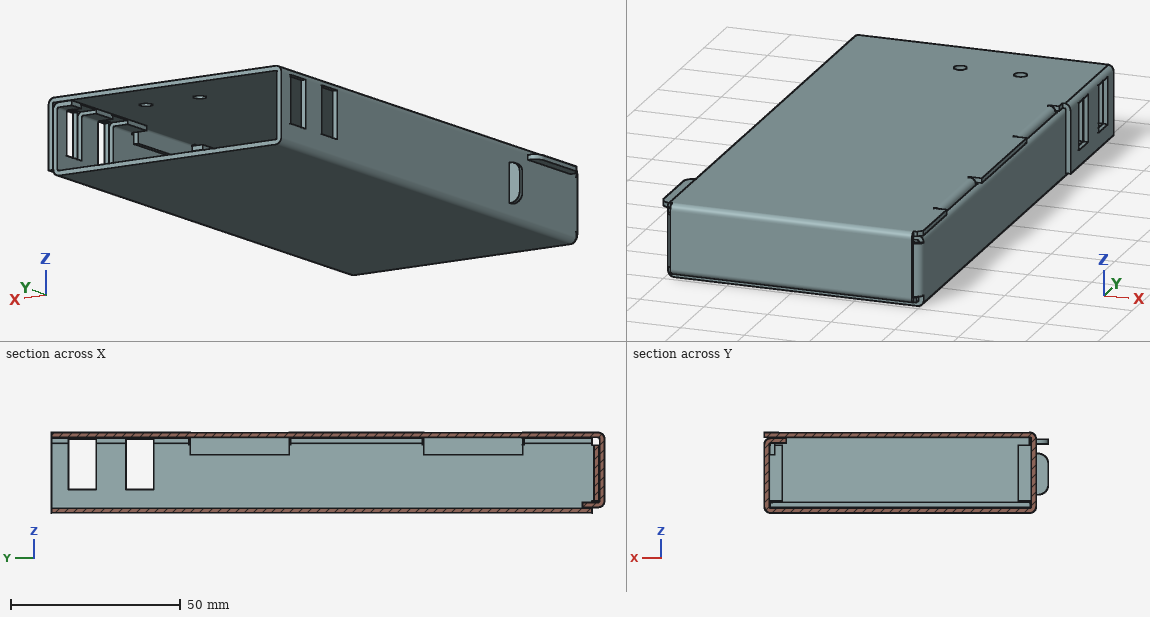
import cadquery as cq
import math


SHEET = 1.5
INNER_BEND = 0.5
OUTER_BEND = SHEET + INNER_BEND
CLEARANCE = 0.2

LENGTH = 163.3
HEIGHT = 23.8
OVERALL_WIDTH = 85.5
TAB_REACH = 3.6
REAR_FLANGE_X = OVERALL_WIDTH - TAB_REACH
WIDTH = REAR_FLANGE_X - SHEET - CLEARANCE
SIDE_FRONT = SHEET + CLEARANCE + OUTER_BEND

INWARD_FLANGE = 6.5
RETURN_REACH = 3.3
RETURN_BOTTOM = 3.6
RETURN_TOP = HEIGHT - 3.8

FRONT_RIGHT_GAP = 2.5
CORNER_CUT = 1.5

REAR_FLANGE_START = 125.9
REAR_RELIEF_WIDTH = 3.1
REAR_RELIEF_DEPTH = 0.8

HOOK_LENGTH = 30.2
HOOK_STARTS = (23.7, 92.6)
HOOK_X = WIDTH - SHEET - CLEARANCE
HOOK_BEND_X = HOOK_X - OUTER_BEND
HOOK_DROP = 6.5
HOOK_CLEARANCE = 0.3
RELIEF_SLIT = 0.5

WINDOW_LENGTH = 8.2
WINDOW_STARTS = (133.1, 150.0)
WINDOW_BOTTOM = 7.0
WINDOW_TOP = HEIGHT - OUTER_BEND

HOLE_DIAMETER = 4.0
HOLE_XS = (40.2, 59.1)
HOLE_Y = 145.7

TAB_RADIUS = 3.1
UPRIGHT_TAB_Y = 38.4
UPRIGHT_TAB_BOTTOM = 5.4
UPRIGHT_TAB_LENGTH = 12.2
FLAT_TAB_START = 6.9
FLAT_TAB_LENGTH = 23.0
FLAT_TAB_TOP = HEIGHT - OUTER_BEND


def block(x_range, y_range, z_range):
    """Axis-aligned block filling the three ranges."""
    start, end = zip(x_range, y_range, z_range)
    size = [high - low for low, high in zip(start, end)]
    return cq.Workplane("XY").box(*size, centered=False).translate(start)


def bent_sheet(plane, corner, ends, start, stop):
    """Right-angle bend of the sheet, its section in the plane and extruded from start to stop.

    The outer faces meet at the corner. One leg runs to ends[0] along the first axis of the
    plane, the other to ends[1] along its second axis.
    """
    u, v = corner
    u_end, v_end = ends
    u_way = math.copysign(1, u_end - u)
    v_way = math.copysign(1, v_end - v)
    u_bend = u + u_way * OUTER_BEND
    v_bend = v + v_way * OUTER_BEND
    u_inner = u + u_way * SHEET
    v_inner = v + v_way * SHEET

    def arc_middle(radius):
        offset = radius / math.sqrt(2)
        return u_bend - u_way * offset, v_bend - v_way * offset

    normal = -1 if plane == "XZ" else 1
    return (
        cq.Workplane(plane)
        .workplane(offset=normal * start)
        .moveTo(u_end, v)
        .lineTo(u_bend, v)
        .threePointArc(arc_middle(OUTER_BEND), (u, v_bend))
        .lineTo(u, v_end)
        .lineTo(u_inner, v_end)
        .lineTo(u_inner, v_bend)
        .threePointArc(arc_middle(INNER_BEND), (u_bend, v_inner))
        .lineTo(u_end, v_inner)
        .close()
        .extrude(normal * (stop - start))
    )


def sleeve():
    """Top plate, left wall, bottom and right wall, the last turned in under the top plate."""
    bends = (
        ((0, HEIGHT), (WIDTH, HEIGHT / 2)),
        ((0, 0), (WIDTH / 2, HEIGHT / 2)),
        ((WIDTH, 0), (WIDTH / 2, HEIGHT / 2)),
        ((WIDTH, HEIGHT - SHEET - CLEARANCE), (WIDTH - INWARD_FLANGE, HEIGHT / 2)),
    )
    body = cq.Workplane("XY")
    for corner, ends in bends:
        body = body.add(bent_sheet("XZ", corner, ends, SIDE_FRONT, LENGTH))
    return body.combine()


def front_wall():
    """Front wall bent down from the top plate and turned in over the bottom."""
    flange_bottom = SHEET + CLEARANCE
    right = WIDTH - FRONT_RIGHT_GAP
    upper = bent_sheet("YZ", (0, HEIGHT), (SIDE_FRONT, HEIGHT / 2), OUTER_BEND, right)
    lower = bent_sheet("YZ", (0, flange_bottom), (INWARD_FLANGE, HEIGHT / 2), OUTER_BEND, right)
    flange = block(
        (flange_bottom, WIDTH - flange_bottom),
        (OUTER_BEND, INWARD_FLANGE),
        (flange_bottom, flange_bottom + SHEET),
    )
    return upper.union(lower).union(flange)


def top_corners():
    """Front strip of the top plate, its corners cut at 45 degrees between the bends."""
    strip = block((0, WIDTH), (OUTER_BEND, SIDE_FRONT), (0, HEIGHT))
    strip = strip.edges("|Z and <Y").chamfer(CORNER_CUT)
    strip = strip.intersect(block((0, WIDTH), (0, SIDE_FRONT), (HEIGHT - OUTER_BEND, HEIGHT)))
    return strip.intersect(bent_sheet("XZ", (0, HEIGHT), (WIDTH, HEIGHT / 2), 0, SIDE_FRONT))


def wall_returns():
    """Front ends of both side walls, turned inward just behind the back of the front wall."""
    front = SHEET + CLEARANCE
    wall_overlap = SIDE_FRONT + SHEET
    reach = OUTER_BEND + RETURN_REACH
    left = bent_sheet("XY", (0, front), (reach, wall_overlap), RETURN_BOTTOM, RETURN_TOP)
    right = bent_sheet("XY", (WIDTH, front), (WIDTH - reach, wall_overlap), RETURN_BOTTOM, RETURN_TOP)
    return left.union(right)


def rear_flange():
    """Flange bent down from the top plate over the outside of the right wall."""
    corner = (REAR_FLANGE_X, HEIGHT)
    ends = (WIDTH - SHEET, OUTER_BEND)
    return bent_sheet("XZ", corner, ends, REAR_FLANGE_START, LENGTH)


def rear_relief():
    """Notch in the edge of the top plate where the rear flange begins."""
    y_range = (REAR_FLANGE_START - REAR_RELIEF_WIDTH, REAR_FLANGE_START)
    return block((WIDTH - REAR_RELIEF_DEPTH, WIDTH), y_range, (HEIGHT - SHEET, HEIGHT))


def hook_opening(start):
    """Opening for a hook through the top plate edge and in the wall flange below it."""
    y_range = (start, start + HOOK_LENGTH)
    edge = block((HOOK_BEND_X - RELIEF_SLIT, WIDTH), y_range, (HEIGHT - SHEET, HEIGHT))
    slot_bottom = HEIGHT - SHEET - CLEARANCE - OUTER_BEND
    slot = block((WIDTH - INWARD_FLANGE, HOOK_X + HOOK_CLEARANCE), y_range, (slot_bottom, HEIGHT - SHEET))
    return edge.union(slot)


def hook(start):
    """Tab bent down from the top plate, leaving a relief slit at each end."""
    stop = start + HOOK_LENGTH - RELIEF_SLIT
    ends = (HOOK_BEND_X - SHEET, HEIGHT - HOOK_DROP)
    return bent_sheet("XZ", (HOOK_X, HEIGHT), ends, start + RELIEF_SLIT, stop)


def windows():
    """Openings passing through both side walls and the rear flange."""
    cutters = cq.Workplane("XY")
    for start in WINDOW_STARTS:
        y_range = (start, start + WINDOW_LENGTH)
        cutters = cutters.add(block((0, REAR_FLANGE_X), y_range, (WINDOW_BOTTOM, WINDOW_TOP)))
    return cutters.combine()


def top_holes():
    """Pair of round holes in the top plate."""
    return (
        cq.Workplane("XY", origin=(0, 0, HEIGHT - SHEET))
        .pushPoints([(x, HOLE_Y) for x in HOLE_XS])
        .circle(HOLE_DIAMETER / 2)
        .extrude(SHEET)
    )


def upright_tab():
    """Rounded tab standing upright on the left wall."""
    y_range = (UPRIGHT_TAB_Y, UPRIGHT_TAB_Y + SHEET)
    z_range = (UPRIGHT_TAB_BOTTOM, UPRIGHT_TAB_BOTTOM + UPRIGHT_TAB_LENGTH)
    return block((-TAB_REACH, SHEET), y_range, z_range).edges("|Y and <X").fillet(TAB_RADIUS)


def flat_tab():
    """Rounded tab lying flat near the front of the left wall."""
    y_range = (FLAT_TAB_START, FLAT_TAB_START + FLAT_TAB_LENGTH)
    z_range = (FLAT_TAB_TOP - SHEET, FLAT_TAB_TOP)
    return block((-TAB_REACH, SHEET), y_range, z_range).edges("|Z and <X").fillet(TAB_RADIUS)


case = sleeve().union(front_wall()).union(top_corners()).union(wall_returns()).union(rear_flange())
case = case.cut(rear_relief()).cut(windows()).cut(top_holes())
for hook_start in HOOK_STARTS:
    case = case.cut(hook_opening(hook_start)).union(hook(hook_start))
result = case.union(upright_tab()).union(flat_tab())